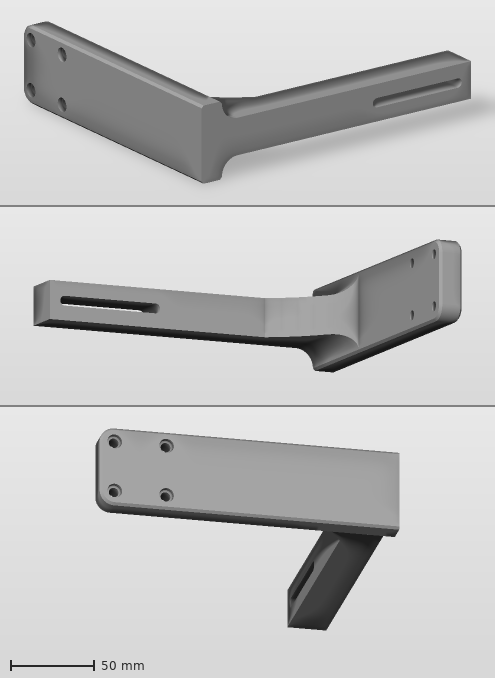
import cadquery as cq

overall_length = 185.0
overall_depth = 200.0

plate_height = 50.0
plate_thickness = 15.0
plate_corner_radius = 9.0
plate_chamfer = 1.5

arm_width = 24.0
arm_height = 24.0

gusset_leg = 42.5
gusset_edge_radius = 94.0

screw_hole_diameter = 6.0
counterbore_diameter = 9.0
counterbore_depth = 3.0
screw_hole_pitch = 32.0
screw_hole_inset = plate_corner_radius

slot_width = 6.0
slot_travel = 60.0
slot_end_inset = 10.0

arm_inner_x = overall_length - arm_width
mid_z = plate_height / 2
half_arm_height = arm_height / 2
root_fillet_radius = mid_z - plate_chamfer - half_arm_height


def make_plate():
    """Plate with two rounded free corners, chamfered around all but its square +X end."""
    blank = cq.Workplane("XY").box(overall_length, plate_thickness, plate_height, centered=False)
    rounded = blank.edges("|Y and <X").fillet(plate_corner_radius)
    return rounded.faces("<Y or >Y").edges("not >X").chamfer(plate_chamfer)


def make_arm_and_gusset():
    """Arm and gusset cut from one bar whose root flares into the plate."""
    root_end_y = plate_thickness + root_fillet_radius
    top_z = mid_z + half_arm_height
    bottom_z = mid_z - half_arm_height
    side_profile = (
        cq.Workplane("YZ")
        .moveTo(plate_thickness, plate_chamfer)
        .radiusArc((root_end_y, bottom_z), root_fillet_radius)
        .lineTo(overall_depth, bottom_z)
        .lineTo(overall_depth, top_z)
        .lineTo(root_end_y, top_z)
        .radiusArc((plate_thickness, plate_height - plate_chamfer), root_fillet_radius)
        .close()
        .extrude(overall_length)
    )
    plan = (
        cq.Workplane("XY")
        .moveTo(overall_length, plate_thickness)
        .lineTo(overall_length, overall_depth)
        .lineTo(arm_inner_x, overall_depth)
        .lineTo(arm_inner_x, plate_thickness + gusset_leg)
        .radiusArc((arm_inner_x - gusset_leg, plate_thickness), gusset_edge_radius)
        .close()
        .extrude(plate_height)
    )
    return side_profile.intersect(plan)


def cut_screw_holes(body):
    """Square pattern of through holes, counterbored from the plate's front (-Y) face."""
    pattern_x = screw_hole_inset + screw_hole_pitch / 2
    front_face = cq.Workplane("XZ", origin=(pattern_x, 0, mid_z))
    pattern = front_face.rarray(screw_hole_pitch, screw_hole_pitch, 2, 2)
    holes = pattern.circle(screw_hole_diameter / 2).extrude(-plate_thickness)
    counterbores = pattern.circle(counterbore_diameter / 2).extrude(-counterbore_depth)
    return body.cut(holes).cut(counterbores)


def cut_slot(body):
    """Adjustment slot through the arm's width, near its free end."""
    slot_center_y = overall_depth - slot_end_inset - slot_travel / 2
    slot = (
        cq.Workplane("YZ", origin=(arm_inner_x, slot_center_y, mid_z))
        .slot2D(slot_travel + slot_width, slot_width)
        .extrude(arm_width)
    )
    return body.cut(slot)


bracket = make_plate().union(make_arm_and_gusset())
bracket = cut_screw_holes(bracket)
result = cut_slot(bracket)